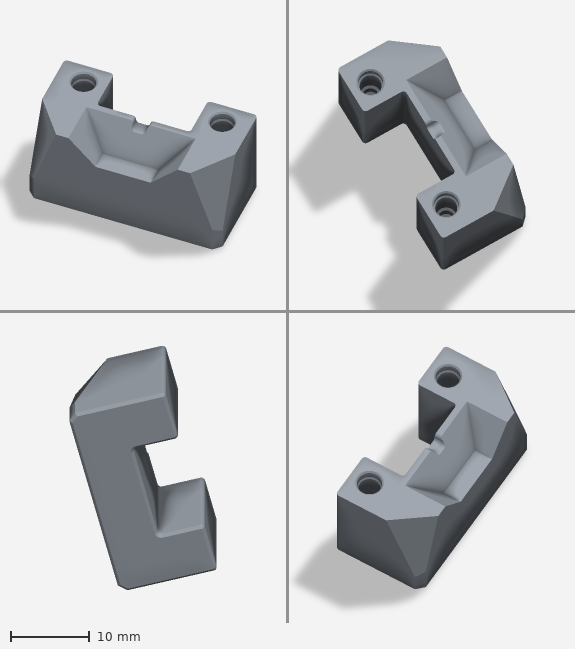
import cadquery as cq

length = 26.5
depth = 12.85
height = 13.0
corner_chamfer = 1.0
corner_radius = 0.5
bottom_chamfer = 0.4

slot_width = 12.85
slot_depth = 6.0

facet_along_x = 4.05
facet_along_y = 5.3
facet_along_z = 12.08

recess_top_width = 15.0
recess_floor_width = 7.55
recess_top_reach = 6.02
recess_floor_reach = 2.52
recess_depth = 3.75

notch_width = 2.01
notch_depth = 1.0
notch_radius = notch_depth / 2

hole_side_offset = 3.74
hole_rear_offset = 2.75
mouth_diameter = 3.63
upper_diameter = 3.2
lower_diameter = 2.8
pilot_diameter = 2.01
upper_wall = 0.87
lower_wall = 3.98
pilot_wall = 1.32


def make_block():
    """U-shaped block with chamfered front corners and rounded leg corners."""
    block = cq.Workplane("XY").box(length, depth, height, centered=(True, False, False))
    block = block.edges("|Z and <Y").chamfer(corner_chamfer)
    slot = (
        cq.Workplane("XY")
        .box(slot_width, slot_depth, height, centered=(True, False, False))
        .translate((0, depth - slot_depth, 0))
    )
    block = block.cut(slot)
    rear_half = cq.selectors.BoxSelector((-length, depth / 2, -height), (length, 2 * depth, 2 * height))
    block = block.edges("|Z").edges(rear_half).fillet(corner_radius)
    return block.faces("<Z").edges().chamfer(bottom_chamfer)


def make_facet_cutter(side):
    """Pyramid standing on its apex, with one sloping side that cuts the facet."""
    overshoot = 1.1
    apex = (side * length / 2, 0, height - facet_along_z)
    base = [
        (0, 0),
        (-side * facet_along_x * overshoot, 0),
        (0, facet_along_y * overshoot),
    ]
    top = height + facet_along_z * (overshoot - 1)
    corners = [cq.Vector(apex[0] + x, y, top) for x, y in base]
    corners.append(cq.Vector(*apex))
    faces = []
    for skipped in range(len(corners)):
        triangle = [corner for i, corner in enumerate(corners) if i != skipped]
        faces.append(cq.Face.makeFromWires(cq.Wire.makePolygon(triangle, close=True)))
    return cq.Workplane(obj=cq.Solid.makeSolid(cq.Shell.makeShell(faces)))


def make_recess():
    """Loft from the recess floor up to its opening in the top face."""
    return (
        cq.Workplane("XY", origin=(0, 0, height - recess_depth))
        .center(0, recess_floor_reach / 2)
        .rect(recess_floor_width, recess_floor_reach)
        .workplane(offset=recess_depth)
        .center(0, (recess_top_reach - recess_floor_reach) / 2)
        .rect(recess_top_width, recess_top_reach)
        .loft(ruled=True)
    )


def make_notch():
    """Channel along Y with rounded floor corners and rounded top lips."""
    half = notch_width / 2
    r = notch_radius
    top = height
    floor = height - notch_depth
    profile = (
        cq.Workplane("XZ")
        .moveTo(-half - r, top)
        .radiusArc((-half, top - r), r)
        .radiusArc((-half + r, floor), -r)
        .lineTo(half - r, floor)
        .radiusArc((half, floor + r), -r)
        .radiusArc((half + r, top), r)
        .close()
    )
    return profile.extrude(-depth)


def make_hole():
    """Revolved stepped hole about Z with 45-degree mouth and step."""
    mouth_bottom = -(mouth_diameter - upper_diameter) / 2
    step_top = mouth_bottom - upper_wall
    step_bottom = step_top - (upper_diameter - lower_diameter) / 2
    lower_floor = step_bottom - lower_wall
    pilot_floor = lower_floor - pilot_wall
    return (
        cq.Workplane("XZ")
        .moveTo(0, 0)
        .lineTo(mouth_diameter / 2, 0)
        .lineTo(upper_diameter / 2, mouth_bottom)
        .lineTo(upper_diameter / 2, step_top)
        .lineTo(lower_diameter / 2, step_bottom)
        .lineTo(lower_diameter / 2, lower_floor)
        .lineTo(pilot_diameter / 2, lower_floor)
        .lineTo(pilot_diameter / 2, pilot_floor)
        .lineTo(0, pilot_floor)
        .close()
        .revolve(360, (0, 0, 0), (0, 1, 0))
    )


result = make_block().cut(make_recess()).cut(make_notch())
for side in (-1, 1):
    hole_x = side * (length / 2 - hole_side_offset)
    hole = make_hole().translate((hole_x, depth - hole_rear_offset, height))
    result = result.cut(make_facet_cutter(side)).cut(hole)